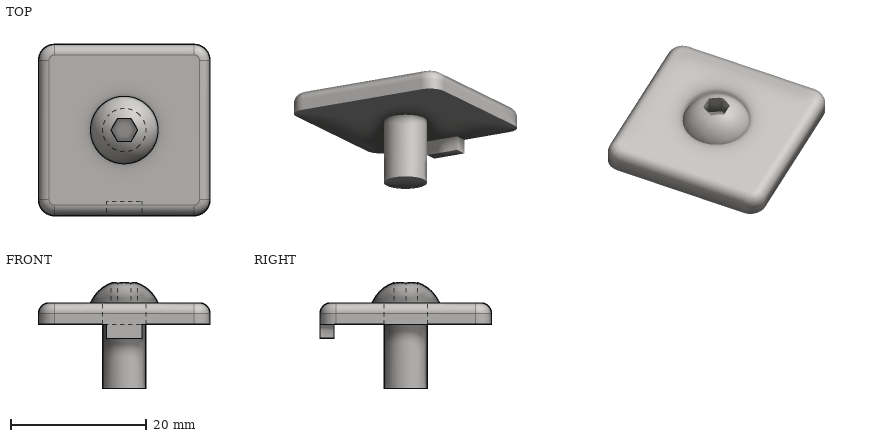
import cadquery as cq
import math

plate_side = 25.4
plate_thickness = 3.175
plate_corner_radius = 2.4
plate_edge_radius = plate_thickness / 2
tab_width = 5.2
tab_depth = 2.1
tab_drop = 2.1

shank_diameter = 6.4
shank_below_plate = 9.525
head_diameter = 10.0
socket_rim_height = 3.01
socket_corner_diameter = 3.97

plate_top = plate_thickness
head_radius = head_diameter / 2
socket_flat_radius = socket_corner_diameter / 2 * math.cos(math.pi / 6)

dome_center_drop = (
    head_radius**2 - socket_flat_radius**2 - socket_rim_height**2
) / (2 * socket_rim_height)
dome_radius = math.hypot(head_radius, dome_center_drop)
dome_height = dome_radius - dome_center_drop


def make_plate():
    plate = (
        cq.Workplane("XY")
        .rect(plate_side, plate_side)
        .extrude(plate_thickness)
        .edges("|Z")
        .fillet(plate_corner_radius)
        .faces(">Z")
        .edges()
        .fillet(plate_edge_radius)
    )
    tab = (
        cq.Workplane("XY")
        .center(0, (tab_depth - plate_side) / 2)
        .rect(tab_width, tab_depth)
        .extrude(-tab_drop)
    )
    screw_hole = cq.Workplane("XY").circle(shank_diameter / 2).extrude(plate_thickness)
    return plate.union(tab).cut(screw_hole)


def make_screw():
    shank_radius = shank_diameter / 2
    mid_angle = math.asin(head_radius / dome_radius) / 2
    dome_mid_point = (
        dome_radius * math.sin(mid_angle),
        plate_top - dome_center_drop + dome_radius * math.cos(mid_angle),
    )
    body = (
        cq.Workplane("XZ")
        .moveTo(0, -shank_below_plate)
        .lineTo(shank_radius, -shank_below_plate)
        .lineTo(shank_radius, plate_top)
        .lineTo(head_radius, plate_top)
        .threePointArc(dome_mid_point, (0, plate_top + dome_height))
        .close()
        .revolve(360, (0, 0, 0), (0, 1, 0))
    )
    socket = (
        cq.Workplane("XY")
        .workplane(offset=plate_top)
        .polygon(6, socket_corner_diameter)
        .extrude(dome_height)
    )
    return body.cut(socket)


plate = make_plate()
screw = make_screw()

result = cq.Compound.makeCompound([plate.val(), screw.val()])